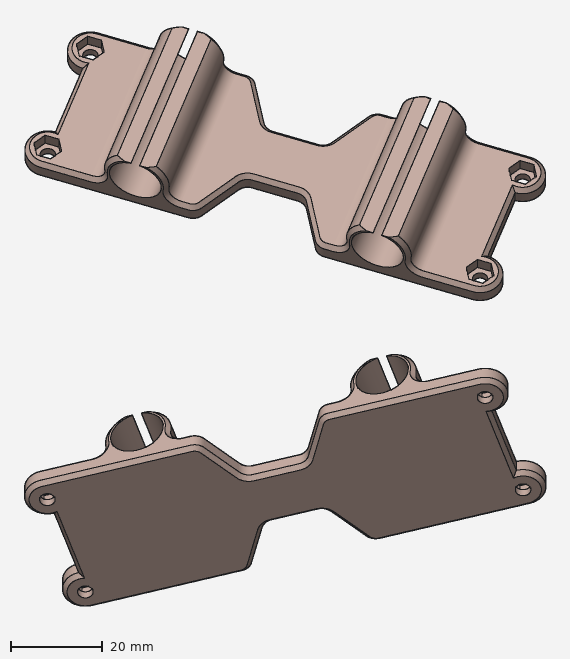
import cadquery as cq
import math

PLATE_THICKNESS = 5.0
PLATE_WIDTH = 38.0
PLATE_HALF_LENGTH = 50.0
EDGE_CHAMFER = 1.0

WAIST_HALF_LENGTH = 7.0
FLARE_HALF_LENGTH = 14.0
FLARE_ANGLE = 60.0
FLARE_DEPTH = (FLARE_HALF_LENGTH - WAIST_HALF_LENGTH) * math.tan(math.radians(FLARE_ANGLE))
WAIST_WIDTH = PLATE_WIDTH - 2 * FLARE_DEPTH
FLARE_CORNER_RADIUS = 3.0

LUG_RADIUS = 5.0
LUG_X = PLATE_HALF_LENGTH
LUG_Y = PLATE_WIDTH / 2 - LUG_RADIUS
SCREW_DIAMETER = 3.4
NUT_SIDES = 6
NUT_ACROSS_CORNERS = 6.4
NUT_POCKET_DEPTH = 3.0

TUBE_X = 28.0
TUBE_BORE_RADIUS = 6.0
TUBE_WALL = 1.5
TUBE_OUTER_RADIUS = TUBE_BORE_RADIUS + TUBE_WALL
TUBE_FOOT_RADIUS = 3.0
SLOT_WIDTH = 2.0
OVERALL_HEIGHT = 15.5
TUBE_AXIS_Z = OVERALL_HEIGHT - TUBE_BORE_RADIUS

SELECTION_MARGIN = 0.1


def lug_positions(height=0.0):
    """Workplane at the given height with the four lug centres on its stack."""
    corners = [(side * LUG_X, end * LUG_Y) for side in (-1, 1) for end in (-1, 1)]
    return cq.Workplane("XY", origin=(0, 0, height)).pushPoints(corners)


def across_width():
    """XZ workplane on the +Y side; extruding from it runs over the full width."""
    return cq.Workplane("XZ", origin=(0, PLATE_WIDTH / 2, 0))


def make_plate():
    """Waisted plate with its four round corner lugs."""
    half_width = PLATE_WIDTH / 2
    half_waist = WAIST_WIDTH / 2
    back_edge = [
        (-PLATE_HALF_LENGTH, half_width),
        (-FLARE_HALF_LENGTH, half_width),
        (-WAIST_HALF_LENGTH, half_waist),
        (WAIST_HALF_LENGTH, half_waist),
        (FLARE_HALF_LENGTH, half_width),
        (PLATE_HALF_LENGTH, half_width),
    ]
    front_edge = [(x, -y) for x, y in reversed(back_edge)]
    plate = cq.Workplane("XY").polyline(back_edge + front_edge).close().extrude(PLATE_THICKNESS)

    flare_reach = FLARE_HALF_LENGTH + SELECTION_MARGIN
    flare_box = cq.selectors.BoxSelector(
        (-flare_reach, -PLATE_WIDTH, 0),
        (flare_reach, PLATE_WIDTH, PLATE_THICKNESS),
    )
    plate = plate.edges("|Z").edges(flare_box).fillet(FLARE_CORNER_RADIUS)

    lugs = lug_positions().circle(LUG_RADIUS).extrude(PLATE_THICKNESS)
    return plate.union(lugs)


def make_saddle(x):
    """Solid tube body with concave feet, tangent to the plate top and to the tube."""
    foot_centre_z = PLATE_THICKNESS + TUBE_FOOT_RADIUS
    centre_distance = TUBE_OUTER_RADIUS + TUBE_FOOT_RADIUS
    drop = TUBE_AXIS_Z - foot_centre_z
    foot_dx = math.sqrt(centre_distance**2 - drop**2)

    touch_dx = foot_dx * TUBE_OUTER_RADIUS / centre_distance
    touch_z = TUBE_AXIS_Z - drop * TUBE_OUTER_RADIUS / centre_distance

    tube_angle = math.atan2(drop, -foot_dx)
    down_angle = math.radians(270)
    middle_angle = (tube_angle + down_angle) / 2
    middle_dx = foot_dx + TUBE_FOOT_RADIUS * math.cos(middle_angle)
    middle_z = foot_centre_z + TUBE_FOOT_RADIUS * math.sin(middle_angle)

    return (
        across_width()
        .moveTo(x - foot_dx, PLATE_THICKNESS)
        .threePointArc((x - middle_dx, middle_z), (x - touch_dx, touch_z))
        .threePointArc((x, TUBE_AXIS_Z + TUBE_OUTER_RADIUS), (x + touch_dx, touch_z))
        .threePointArc((x + middle_dx, middle_z), (x + foot_dx, PLATE_THICKNESS))
        .lineTo(x + foot_dx, 0)
        .lineTo(x - foot_dx, 0)
        .close()
        .extrude(PLATE_WIDTH)
    )


def chamfer_outer_edges(body):
    """Chamfer every rim, leaving upright corners and full-width lines alone."""
    full_width = PLATE_WIDTH - SELECTION_MARGIN
    rims = body.edges("not |Z").filter(lambda edge: edge.BoundingBox().ylen < full_width)
    return rims.chamfer(EDGE_CHAMFER)


def cut_tubes(body):
    """Bore and split the tubes, then level their crowns."""
    bores = (
        across_width()
        .pushPoints([(-TUBE_X, TUBE_AXIS_Z), (TUBE_X, TUBE_AXIS_Z)])
        .circle(TUBE_BORE_RADIUS)
        .extrude(PLATE_WIDTH)
    )
    slots = (
        cq.Workplane("XY", origin=(0, 0, TUBE_AXIS_Z))
        .pushPoints([(-TUBE_X, 0), (TUBE_X, 0)])
        .rect(SLOT_WIDTH, PLATE_WIDTH)
        .extrude(TUBE_OUTER_RADIUS)
    )
    above_crowns = (
        cq.Workplane("XY", origin=(0, 0, OVERALL_HEIGHT))
        .rect(2 * PLATE_HALF_LENGTH, PLATE_WIDTH)
        .extrude(TUBE_WALL)
    )
    return body.cut(bores).cut(slots).cut(above_crowns)


def cut_lug_holes(body):
    """Through screw holes with hexagonal nut pockets sunk from the top."""
    screws = lug_positions().circle(SCREW_DIAMETER / 2).extrude(PLATE_THICKNESS)
    nuts = (
        lug_positions(PLATE_THICKNESS - NUT_POCKET_DEPTH)
        .polygon(NUT_SIDES, NUT_ACROSS_CORNERS)
        .extrude(NUT_POCKET_DEPTH)
    )
    return body.cut(screws).cut(nuts)


body = make_plate()
for tube_x in (-TUBE_X, TUBE_X):
    body = body.union(make_saddle(tube_x))
body = chamfer_outer_edges(body)
body = cut_tubes(body)
result = cut_lug_holes(body)